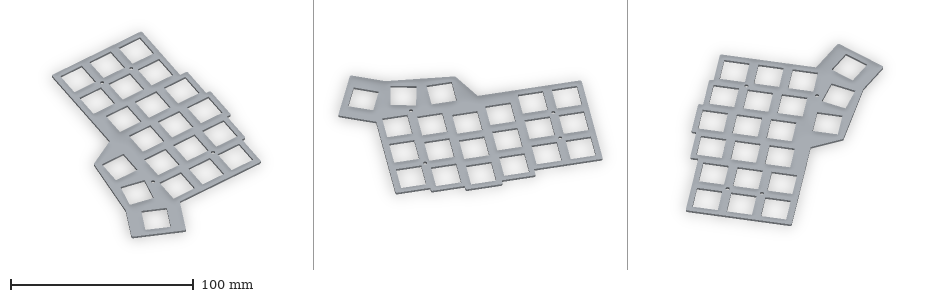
import cadquery as cq
import math

length = 135.2
depth = 94.5
thickness = 1.4
corner_radius = 1.0

window_size = 14.0
column_count = 6
first_column_x = 10.3
last_column_x = 105.3
key_pitch = (last_column_x - first_column_x) / (column_count - 1)
middle_row_heights = [58.0, 58.0, 62.7, 65.3, 62.7, 60.3]

thumb_tilt = -24.0
thumb_keys = [
    (76.8, 22.5, 0.0),
    (97.6, 20.1, thumb_tilt / 2),
    (119.5, 18.1, thumb_tilt),
]

hole_diameter = 2.2
left_hole_x = first_column_x + key_pitch / 2
right_hole_x = last_column_x - key_pitch / 2
lower_left_hole_y = middle_row_heights[0] - key_pitch / 2
upper_left_hole_y = middle_row_heights[0] + key_pitch / 2
lower_right_hole_y = 31.8
upper_right_hole_y = 71.0
hole_centres = [
    (left_hole_x, lower_left_hole_y),
    (left_hole_x, upper_left_hole_y),
    (right_hole_x, lower_right_hole_y),
    (right_hole_x, upper_right_hole_y),
]

bottom_y = 28.4
outer_columns_top = 87.2
shoulder_top = 91.8
inner_column_top = 89.3
shoulder_left_x = 38.4
crown_left_x = 57.3
crown_right_x = 78.0
shoulder_right_x = 96.6
inner_edge_x = 116.0
thumb_top_y = 36.0
thumb_bottom_x = 105.1
thumb_left = (67.0, 11.9)
thumb_start_x = 57.8


def thumb_corners():
    """Sharp outer corners of the tilted thumb end, set so that its rounded corners meet the plate's extents."""
    tilt = math.radians(-thumb_tilt)
    overshoot = corner_radius * (math.cos(tilt) + math.sin(tilt) - 1)
    right_x = length + overshoot
    right_y = thumb_top_y - (right_x - inner_edge_x) * math.tan(tilt)
    low_y = -overshoot
    low_x = right_x - (right_y - low_y) * math.tan(tilt)
    inner_y = low_y + (low_x - thumb_bottom_x) * math.tan(tilt)
    return (right_x, right_y), (low_x, low_y), (thumb_bottom_x, inner_y)


def make_plate():
    thumb_right, thumb_low, thumb_inner = thumb_corners()
    rounded_corners = [
        (0, bottom_y),
        (0, outer_columns_top),
        (shoulder_left_x, shoulder_top),
        (crown_left_x, depth),
        (crown_right_x, depth),
        (shoulder_right_x, shoulder_top),
        (inner_edge_x, inner_column_top),
        thumb_right,
        thumb_low,
    ]
    outline = [
        (0, bottom_y),
        (0, outer_columns_top),
        (shoulder_left_x, outer_columns_top),
        (shoulder_left_x, shoulder_top),
        (crown_left_x, shoulder_top),
        (crown_left_x, depth),
        (crown_right_x, depth),
        (crown_right_x, shoulder_top),
        (shoulder_right_x, shoulder_top),
        (shoulder_right_x, inner_column_top),
        (inner_edge_x, inner_column_top),
        (inner_edge_x, thumb_top_y),
        thumb_right,
        thumb_low,
        thumb_inner,
        thumb_left,
        (thumb_start_x, bottom_y),
    ]
    plate = cq.Workplane("XY").polyline(outline).close().extrude(thickness)
    edges = []
    for x, y in rounded_corners:
        corner = cq.selectors.NearestToPointSelector((x, y, thickness / 2))
        edges.append(plate.edges("|Z").edges(corner).val())
    return plate.newObject(edges).fillet(corner_radius)


def key_window(x, y, angle):
    window = cq.Workplane("XY").rect(window_size, window_size).extrude(thickness)
    return window.rotate((0, 0, 0), (0, 0, 1), angle).translate((x, y, 0))


keys = list(thumb_keys)
for column, middle_y in enumerate(middle_row_heights):
    for row in (-1, 0, 1):
        keys.append((first_column_x + column * key_pitch, middle_y + row * key_pitch, 0.0))

result = make_plate()
for x, y, angle in keys:
    result = result.cut(key_window(x, y, angle))

screw_holes = cq.Workplane("XY").pushPoints(hole_centres).circle(hole_diameter / 2).extrude(thickness)
result = result.cut(screw_holes)